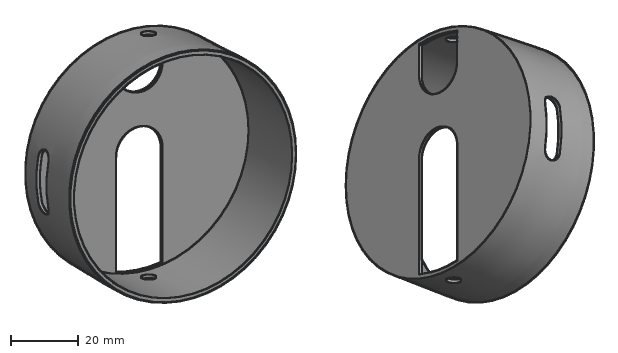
import cadquery as cq

height = 26.5
rim_diameter = 78.7
base_diameter = 77.8
taper_length = 21.55
rim_chamfer = 0.2
base_thickness = 1.2

cavity_diameter = 75.6

keyway_width = 16.05
keyway_radius = keyway_width / 2
keyway_end_diameter = 75.0
upper_keyway_start = 18.9

pin_hole_diameter = 4.5
pin_hole_x = 6.5

window_x = 9.75
window_width = 6.05
window_length = 20.2


def make_shell():
    """Revolve the cup section about the X axis."""
    rim_radius = rim_diameter / 2
    return (
        cq.Workplane("XY")
        .moveTo(0, 0)
        .lineTo(0, base_diameter / 2)
        .lineTo(taper_length, rim_radius)
        .lineTo(height - rim_chamfer, rim_radius)
        .lineTo(height, rim_radius - rim_chamfer)
        .lineTo(height, cavity_diameter / 2)
        .lineTo(base_thickness, cavity_diameter / 2)
        .lineTo(base_thickness, 0)
        .close()
        .revolve(360, (0, 0, 0), (1, 0, 0))
    )


def make_keyway(round_center_z, direction):
    """Slot with one rounded end, running along Z to an arc about the X axis."""
    slot = (
        cq.Workplane("YZ")
        .moveTo(-keyway_radius, round_center_z)
        .threePointArc(
            (0, round_center_z - direction * keyway_radius),
            (keyway_radius, round_center_z),
        )
        .lineTo(keyway_radius, direction * rim_diameter)
        .lineTo(-keyway_radius, direction * rim_diameter)
        .close()
        .extrude(base_thickness)
    )
    end_limit = cq.Workplane("YZ").circle(keyway_end_diameter / 2).extrude(base_thickness)
    return slot.intersect(end_limit)


def make_pin_holes():
    """One drill along Z pierces the wall at the top and at the bottom."""
    return (
        cq.Workplane("XY")
        .center(pin_hole_x, 0)
        .circle(pin_hole_diameter / 2)
        .extrude(rim_diameter / 2, both=True)
    )


def make_window():
    """Obround cut from the axis outward through the -Y wall."""
    return (
        cq.Workplane("XZ")
        .center(window_x, 0)
        .slot2D(window_length, window_width, 90)
        .extrude(rim_diameter / 2)
    )


result = (
    make_shell()
    .cut(make_keyway(upper_keyway_start + keyway_radius, 1))
    .cut(make_keyway(0, -1))
    .cut(make_pin_holes())
    .cut(make_window())
)